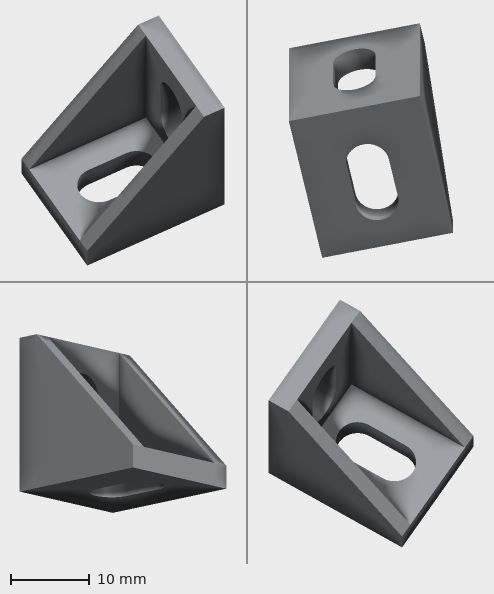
import cadquery as cq

width = 17.0
leg_length = 20.0

plate_thickness = 3.0
gusset_thickness = 2.0

slot_width = 5.5
slot_length = 11.0
slot_offset = 10.75

inner_width = width - 2 * gusset_thickness



def bracket_body():
    """Solid wedge with blunt ends as thick as the plates."""
    profile = [
        (0, 0),
        (-leg_length, 0),
        (-leg_length, plate_thickness),
        (-plate_thickness, leg_length),
        (0, leg_length),
    ]
    return cq.Workplane("YZ").polyline(profile).close().extrude(width / 2, both=True)


def inner_pocket():
    """Space between the gussets, in front of the upright and above the base."""
    depth = leg_length - plate_thickness
    return (
        cq.Workplane("XY")
        .box(inner_width, depth, depth, centered=(True, False, False))
        .translate((0, -leg_length, plate_thickness))
    )


def base_slot():
    """Vertical slot cutter through the base plate, long along Y."""
    return (
        cq.Workplane("XY")
        .center(0, -slot_offset)
        .slot2D(slot_length, slot_width, 90)
        .extrude(plate_thickness)
    )


def upright_slot():
    """Horizontal slot cutter through the upright plate, long along Z."""
    return (
        cq.Workplane("XZ")
        .center(0, slot_offset)
        .slot2D(slot_length, slot_width, 90)
        .extrude(plate_thickness)
    )


result = bracket_body().cut(inner_pocket()).cut(base_slot()).cut(upright_slot())